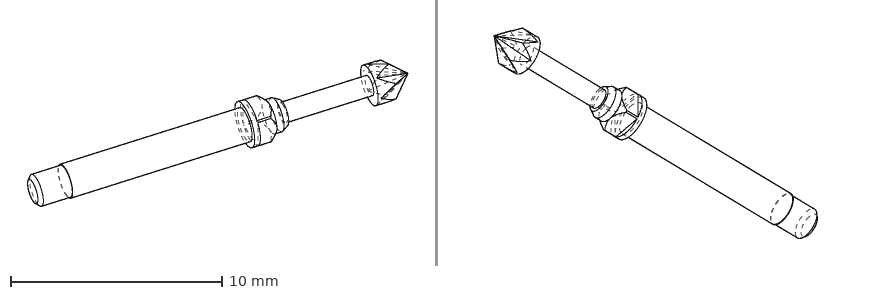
import cadquery as cq
import math

total_length = 19.5
tip_y = total_length / 2

head_radius = 1.01
head_end = 2.0
cutting_edges = 6
edge_run = head_radius
groove_run = 1.85

rod_radius = 0.5

collar_start = 6.5
collar_front_radius = 0.66
collar_taper_end = 6.82
barrel_diameter = 1.7
barrel_radius = barrel_diameter / 2
square_start = 7.2
square_width = barrel_diameter
flange_start = 8.19
flange_end = 8.48
flange_radius = 1.15

tail_radius = 0.8
tail_length = 1.7
tail_chamfer = 0.2


def revolve_profile(points):
    """Turn (radius, station) points, closed along the axis, around Y."""
    outline = [(radius, tip_y - station) for radius, station in points]
    return cq.Workplane("XY").polyline(outline).close().revolve(360, (0, 0, 0), (0, 1, 0))


def cylinder(radius, start, end):
    return revolve_profile([(0, start), (radius, start), (radius, end), (0, end)])


def star_pyramid(depth):
    """Pyramid from the tip with alternating ridges and grooves, the first ridge towards +Z."""
    ridge_radius = depth * head_radius / edge_run
    groove_radius = depth * head_radius / groove_run
    apex = cq.Vector(0, tip_y, 0)
    corners = []
    for index in range(2 * cutting_edges):
        angle = index * math.pi / cutting_edges
        radius = ridge_radius if index % 2 == 0 else groove_radius
        corners.append(cq.Vector(radius * math.sin(angle), tip_y - depth, radius * math.cos(angle)))
    faces = [cq.Face.makeFromWires(cq.Wire.makePolygon(corners, close=True))]
    for corner, following in zip(corners, corners[1:] + corners[:1]):
        faces.append(cq.Face.makeFromWires(cq.Wire.makePolygon([apex, corner, following], close=True)))
    return cq.Workplane(cq.Solid.makeSolid(cq.Shell.makeShell(faces)))


def star_head():
    return cylinder(head_radius, 0, head_end).intersect(star_pyramid(head_end))


def collar():
    return revolve_profile([
        (0, collar_start),
        (collar_front_radius, collar_start),
        (barrel_radius, collar_taper_end),
        (barrel_radius, square_start),
        (0, square_start),
    ])


def square_drive():
    """Square with corners rounded to the flange and a 45 degree lead-in cone."""
    lead_in_end = square_start + flange_radius - barrel_radius
    envelope = revolve_profile([
        (0, square_start),
        (barrel_radius, square_start),
        (flange_radius, lead_in_end),
        (flange_radius, flange_start),
        (0, flange_start),
    ])
    length = flange_start - square_start
    middle = tip_y - (square_start + flange_start) / 2
    block = cq.Workplane("XY").box(square_width, length, square_width).translate((0, middle, 0))
    return envelope.intersect(block)


def tail():
    tail_start = total_length - tail_length
    return revolve_profile([
        (0, tail_start),
        (tail_radius, tail_start),
        (tail_radius, total_length - tail_chamfer),
        (tail_radius - tail_chamfer, total_length),
        (0, total_length),
    ])


rod = cylinder(rod_radius, head_end, collar_start)
flange = cylinder(flange_radius, flange_start, flange_end)
barrel = cylinder(barrel_radius, flange_end, total_length - tail_length)

result = star_head().union(rod).union(collar()).union(square_drive())
result = result.union(flange).union(barrel).union(tail())